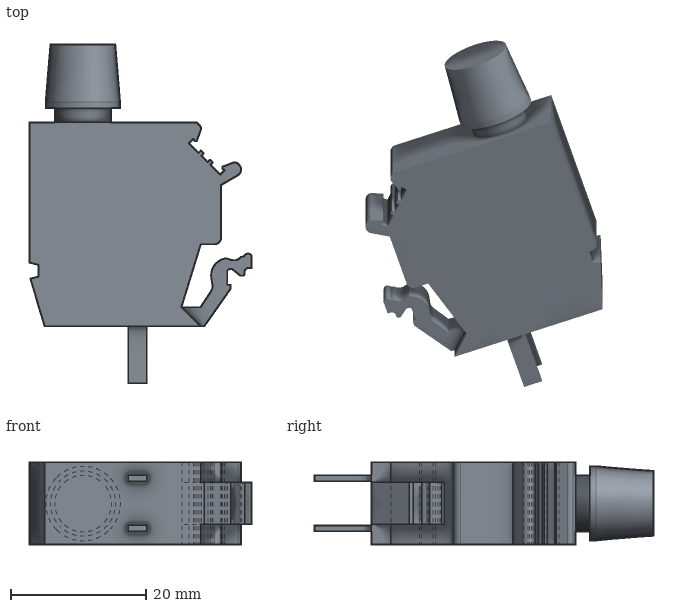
import cadquery as cq
import math

housing_thickness = 12.2
housing_height = 30.2
base_left_x = 2.25
base_right_x = 25.35
joint_leg = 2.85
right_wall_x = 28.4
right_wall_bottom_y = 12.15
right_wall_top_y = 20.9
round_radius = 1.0

notch_top_y = 9.45
notch_inner_top_y = 9.1
notch_inner_bottom_y = 7.35
notch_depth = 1.35
notch_bottom_x = 0.15
notch_bottom_y = 7.05

seat_x = 23.6
seat_y = 27.1
seat_length = 6.5
hook_height = 3.0
lip_wall = 0.9
lip_width = 0.4
lip_underside = 0.8
lip_tip_along = 0.6
lip_tip_height = 1.0
hook_tip_along = -0.3
hook_tip_radius = 0.75
hook_back_slope = math.tan(math.radians(30))
rib_start = 2.0
rib_width = 0.6
rib_height = 0.5

latch_width = 6.2
latch_foot_x = 25.85
latch_tip_x = 32.9
latch_tip_bottom_y = 8.6
latch_tip_top_y = 10.45
latch_step_x = 29.8
latch_step_bottom_y = 5.55
latch_step_top_y = 6.15
recess_x = 29.3
recess_top_y = 8.2
barb_x = 31.85
barb_side_bottom_y = 7.85
barb_side_top_y = 8.05
heel_x = 25.3
recess_roof = ((recess_x, recess_top_y), (29.75, 8.45), (30.25, 8.25))
barb_underside = ((31.1, 7.55), (31.3, 7.45), (31.55, 7.45))
barb_corner = ((31.8, 7.6), (barb_x, barb_side_bottom_y))
barb_root = ((barb_x, barb_side_top_y), (32.0, 8.4), (32.35, latch_tip_bottom_y))
nose_top = ((latch_tip_x, latch_tip_top_y), (32.3, 10.8), (31.8, 10.4))
saddle = ((31.3, 10.3), (30.6, 9.85), (29.8, 9.9))
shoulder = ((29.1, 10.1), (27.5, 9.2), (26.9, 7.25))
arm_bend = ((27.05, 6.4), (27.1, 5.75), (26.75, 5.05))

knob_x = 7.9
neck_diameter = 8.35
neck_length = 2.1
collar_diameter = 11.05
collar_length = 0.9
cap_top_diameter = 9.65
cap_length = 8.5

pin_x = 16.0
pin_width = 2.75
pin_thickness = 0.9
pin_length = 8.4
pin_offset = 3.7


def on_seat(along, height):
    """XY point at a distance along the seat (down to the right) and a height above it."""
    diagonal = math.sqrt(2)
    return (seat_x + (along + height) / diagonal, seat_y + (height - along) / diagonal)


def make_housing():
    upper_hook = [
        (hook_tip_along, hook_height),
        (lip_tip_along, lip_tip_height),
        (lip_width, lip_underside),
        (0, lip_wall),
        (0, 0),
    ]
    upper_points = [on_seat(along, height) for along, height in upper_hook]
    lower_points = [on_seat(seat_length - along, height) for along, height in reversed(upper_hook)]

    top_line_sum = sum(on_seat(0, hook_height))
    top_corner = (top_line_sum - housing_height, housing_height)
    back_x = (top_line_sum - right_wall_top_y + hook_back_slope * right_wall_x) / (1 + hook_back_slope)
    back_corner = (back_x, top_line_sum - back_x)
    wall_corner = (right_wall_x, right_wall_bottom_y)

    outline = [
        (base_left_x, 0),
        (notch_bottom_x, notch_bottom_y),
        (notch_depth, notch_inner_bottom_y),
        (notch_depth, notch_inner_top_y),
        (0, notch_top_y),
        (0, housing_height),
        top_corner,
        *upper_points,
        *lower_points,
        back_corner,
        (right_wall_x, right_wall_top_y),
        wall_corner,
        (base_right_x, right_wall_bottom_y),
        (base_right_x - joint_leg, joint_leg),
        (base_right_x, 0),
    ]
    housing = cq.Workplane("XY").polyline(outline).close()
    housing = housing.extrude(housing_thickness / 2, both=True)
    rounded_corners = [
        (upper_points[0], hook_tip_radius),
        (lower_points[-1], hook_tip_radius),
        (back_corner, round_radius),
        (wall_corner, round_radius),
    ]
    for (x, y), radius in rounded_corners:
        corner_edge = cq.selectors.NearestToPointSelector((x, y, 0))
        housing = housing.edges("|Z").edges(corner_edge).fillet(radius)
    return housing


def make_rib(along):
    corners = [
        on_seat(along, 0),
        on_seat(along, rib_height),
        on_seat(along + rib_width, rib_height),
        on_seat(along + rib_width, 0),
    ]
    rib = cq.Workplane("XY").polyline(corners).close()
    return rib.extrude(housing_thickness / 2, both=True)


def make_latch():
    joint_x = base_right_x - joint_leg
    outline = cq.Workplane("XY").polyline([
        (joint_x, joint_leg),
        (base_right_x, 0),
        (latch_foot_x, 0),
        (latch_step_x, latch_step_bottom_y),
        (latch_step_x, latch_step_top_y),
        (recess_x, latch_step_top_y),
    ])
    for start, middle, end in (recess_roof, barb_underside):
        outline = outline.lineTo(*start).threePointArc(middle, end)
    outline = outline.threePointArc(*barb_corner)
    outline = outline.lineTo(*barb_root[0]).threePointArc(*barb_root[1:])
    outline = outline.lineTo(latch_tip_x, latch_tip_bottom_y)
    for start, middle, end in (nose_top, saddle, shoulder, arm_bend):
        outline = outline.lineTo(*start).threePointArc(middle, end)
    outline = outline.lineTo(heel_x, joint_leg).close()
    return outline.extrude(latch_width / 2, both=True)


def make_knob():
    collar_y = housing_height + neck_length
    cap_y = collar_y + collar_length
    half_profile = [
        (0, housing_height),
        (neck_diameter / 2, housing_height),
        (neck_diameter / 2, collar_y),
        (collar_diameter / 2, collar_y),
        (collar_diameter / 2, cap_y),
        (cap_top_diameter / 2, cap_y + cap_length),
        (0, cap_y + cap_length),
    ]
    knob = cq.Workplane("XY").polyline(half_profile).close()
    knob = knob.revolve(360, (0, 0, 0), (0, 1, 0))
    return knob.translate((knob_x, 0, 0))


def make_pin(z):
    pin = cq.Workplane("XY").box(pin_width, pin_length, pin_thickness)
    return pin.translate((pin_x, -pin_length / 2, z))


result = make_housing().union(make_latch()).union(make_knob())
for along in (rib_start, seat_length - rib_start - rib_width):
    result = result.union(make_rib(along))
for z in (-pin_offset, pin_offset):
    result = result.union(make_pin(z))